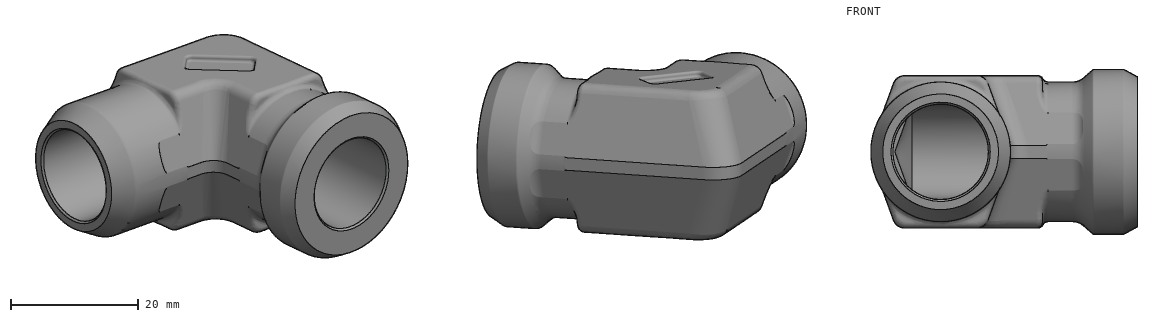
import cadquery as cq
import math

overall_length = 44.0

body_half_width = 11.0
body_half_height = 12.0
side_flat_half_height = 1.0
side_lean = math.radians(20)
body_end = 16.0
outer_corner_radius = 4.75
inner_corner_radius = 2.85
long_edge_radius = 2.0
shoulder_edge_radius = 0.92

neck_radius = body_half_width
neck_blend_radius = 0.9
neck_start = body_end + neck_blend_radius
neck_flats_end = 20.75
flat_runout_radius = 1.65
collar_runout_radius = 2.02

collar_end = 31.0
collar_radius = 26.0 / 2
collar_back_angle = math.radians(45)
collar_blend_radius = 2.65
collar_back = 24.02
collar_front = 28.8
collar_face_radius = 11.8
collar_edge_round = 0.35

nozzle_end = overall_length - collar_radius
nozzle_cone_start = 27.45
nozzle_tip_radius = 18.2 / 2
nozzle_edge_round = 0.8

bore_radius = 15.0 / 2
bore_overrun = 4.55
bore_tip_depth = 2.7
mouth_chamfer = 0.3

label_length = 11.7
label_width = 5.8
label_corner_radius = 1.3
label_depth = 0.92
label_edge_radius = 0.45
label_offset = 2.65
label_angle = 45

quarter_arc_inset = 1 - math.sqrt(0.5)
selection_margin = 0.05

top_half_width = body_half_width - (body_half_height - side_flat_half_height) * math.tan(side_lean)


def elbow_outline(half_width, arm_length, height):
    """L-shaped outline of the body at one height, with rounded outer and inner corners."""
    outer = half_width - outer_corner_radius
    inner = half_width + inner_corner_radius
    outer_mid = half_width - outer_corner_radius * quarter_arc_inset
    inner_mid = half_width + inner_corner_radius * quarter_arc_inset
    return (
        cq.Workplane("XY", origin=(0, 0, height))
        .moveTo(-half_width, -arm_length)
        .lineTo(-half_width, outer)
        .threePointArc((-outer_mid, outer_mid), (-outer, half_width))
        .lineTo(arm_length, half_width)
        .lineTo(arm_length, -half_width)
        .lineTo(inner, -half_width)
        .threePointArc((inner_mid, -inner_mid), (half_width, -inner))
        .lineTo(half_width, -arm_length)
        .close()
    )


def make_bar(arm_length):
    """The bent bar: a thin straight band at mid height with leaning sides above and below."""
    band = elbow_outline(body_half_width, arm_length, -side_flat_half_height)
    band = band.extrude(2 * side_flat_half_height)
    wide = elbow_outline(body_half_width, arm_length, side_flat_half_height).wire().val()
    narrow = elbow_outline(top_half_width, arm_length, body_half_height).wire().val()
    upper = cq.Workplane(cq.Solid.makeLoft([wide, narrow], True))
    return band.union(upper).union(upper.mirror("XY"))


def revolve_about_nozzle_axis(profile):
    """Spin a (radius, -distance) profile in the XY plane about the Y axis."""
    return profile.close().revolve(360, (0, 0, 0), (0, 1, 0))


def onto_x_arm(shape):
    """Turn a shape built along -Y so that it runs along +X."""
    return shape.rotate((0, 0, 0), (0, 0, 1), 90)


def shoulder_trim():
    """Material removed round the neck, back to the shoulder and its concave blend."""
    outside = 2 * body_half_width
    blend_rise = neck_blend_radius * quarter_arc_inset
    profile = (
        cq.Workplane("XY")
        .moveTo(neck_radius, -neck_start)
        .threePointArc(
            (neck_radius + blend_rise, -body_end - blend_rise),
            (neck_radius + neck_blend_radius, -body_end),
        )
        .lineTo(outside, -body_end)
        .lineTo(outside, -neck_start)
    )
    return revolve_about_nozzle_axis(profile)


def is_shoulder_edge(edge):
    """True for the sharp outer edges of a shoulder, away from the narrow mid-height band."""
    middle = edge.positionAt(0.5)
    along = max(middle.x, -middle.y)
    on_shoulder = body_end - selection_margin < along < neck_start - selection_margin
    return on_shoulder and abs(middle.z) > 2 * side_flat_half_height and edge.geomType() != "CIRCLE"


def make_body():
    """Rounded bar with a shoulder blended down to the neck on each arm."""
    bar = make_bar(neck_start)
    bar = bar.faces(">Z or <Z").edges("not(<Y or >X)").fillet(long_edge_radius)
    trim = shoulder_trim()
    bar = bar.cut(trim).cut(onto_x_arm(trim))
    return bar.edges().filter(is_shoulder_edge).fillet(shoulder_edge_radius)


def make_flat_cutter(runout_radius):
    """Material outside one leaning neck flat, with a concave scoop at its far end."""
    floor = body_half_width * math.cos(side_lean) + side_flat_half_height * math.sin(side_lean)
    outside = 2 * body_half_width
    arc_inset = runout_radius * quarter_arc_inset
    scoop = (
        cq.Workplane("XY")
        .moveTo(floor, -neck_start)
        .lineTo(floor, -neck_flats_end)
        .threePointArc(
            (floor + arc_inset, -neck_flats_end - runout_radius + arc_inset),
            (floor + runout_radius, -neck_flats_end - runout_radius),
        )
        .lineTo(outside, -neck_flats_end - runout_radius)
        .lineTo(outside, -neck_start)
        .close()
        .extrude(body_half_width, both=True)
    )
    return scoop.rotate((0, 0, 0), (0, 1, 0), -math.degrees(side_lean))


def cut_neck_flats(arm, runout_radius):
    """Cut the four leaning flats on the neck of an arm built along -Y."""
    cutter = make_flat_cutter(runout_radius)
    pair = cutter.union(cutter.mirror("XY"))
    return arm.cut(pair).cut(pair.mirror("YZ"))


def round_rims(arm, first, last, radius):
    """Round the circular edges lying between two distances along an arm built along -Y."""

    def is_in_range(edge):
        return first - selection_margin < -edge.Center().y < last + selection_margin

    return arm.edges("%CIRCLE").filter(is_in_range).fillet(radius)


def make_nozzle():
    profile = (
        cq.Workplane("XY")
        .moveTo(0, -neck_start)
        .lineTo(neck_radius, -neck_start)
        .lineTo(neck_radius, -nozzle_cone_start)
        .lineTo(nozzle_tip_radius, -nozzle_end)
        .lineTo(0, -nozzle_end)
    )
    nozzle = revolve_about_nozzle_axis(profile)
    nozzle = round_rims(nozzle, nozzle_cone_start, nozzle_cone_start, nozzle_edge_round)
    return cut_neck_flats(nozzle, flat_runout_radius)


def make_collar_arm():
    blend_end_radius = neck_radius + collar_blend_radius * (1 - math.cos(collar_back_angle))
    blend_end = neck_flats_end + collar_blend_radius * math.sin(collar_back_angle)
    half_angle = collar_back_angle / 2
    profile = (
        cq.Workplane("XY")
        .moveTo(0, -neck_start)
        .lineTo(neck_radius, -neck_start)
        .lineTo(neck_radius, -neck_flats_end)
        .threePointArc(
            (
                neck_radius + collar_blend_radius * (1 - math.cos(half_angle)),
                -neck_flats_end - collar_blend_radius * math.sin(half_angle),
            ),
            (blend_end_radius, -blend_end),
        )
        .lineTo(collar_radius, -collar_back)
        .lineTo(collar_radius, -collar_front)
        .lineTo(collar_face_radius, -collar_end)
        .lineTo(0, -collar_end)
    )
    arm = revolve_about_nozzle_axis(profile)
    arm = round_rims(arm, collar_back, collar_front, collar_edge_round)
    return onto_x_arm(cut_neck_flats(arm, collar_runout_radius))


def make_bore(arm_end, blind_end, tip_depth):
    """Bore from the mouth of an arm to blind_end past the origin, plus a conical tip."""
    profile = (
        cq.Workplane("XY")
        .moveTo(0, blind_end + tip_depth)
        .lineTo(bore_radius, blind_end)
        .lineTo(bore_radius, -arm_end + mouth_chamfer)
        .lineTo(bore_radius + mouth_chamfer, -arm_end)
        .lineTo(0, -arm_end)
    )
    return revolve_about_nozzle_axis(profile)


def cut_label_recess(solid):
    """Round-cornered recess with an S-shaped wall from rim to floor."""
    recess = (
        cq.Workplane("XY", origin=(label_offset, -label_offset, body_half_height))
        .transformed(rotate=(0, 0, label_angle))
        .rect(label_length - 2 * label_edge_radius, label_width - 2 * label_edge_radius)
        .extrude(-label_depth)
        .edges("|Z")
        .fillet(label_corner_radius - label_edge_radius)
        .faces("<Z")
        .edges()
        .fillet(label_edge_radius)
    )
    solid = solid.cut(recess)
    rim = solid.faces(">Z").val().innerWires()[0]
    return solid.newObject(rim.Edges()).fillet(label_edge_radius)


elbow = (
    make_body()
    .union(make_nozzle())
    .union(make_collar_arm())
    .cut(make_bore(nozzle_end, blind_end=0, tip_depth=0))
    .cut(onto_x_arm(make_bore(collar_end, bore_overrun, bore_tip_depth)))
)
result = cut_label_recess(elbow)